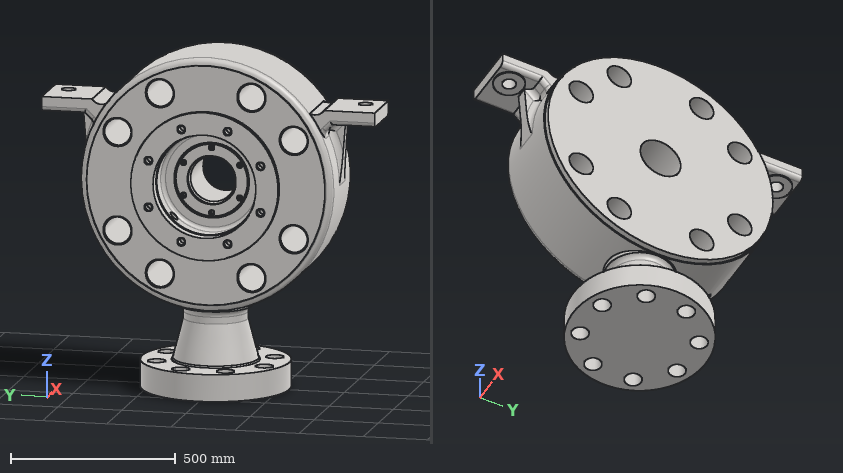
import cadquery as cq
import math

OVERALL_HEIGHT = 1045.0
DISC_RADIUS = 394.0
FLANGE_BOTTOM = DISC_RADIUS - OVERALL_HEIGHT

QUARTER_ARC = 1 - math.sqrt(0.5)

DISC_FRONT = -135.0
DISC_BACK = 132.0
FRONT_ROUND = 20.0
FRONT_LIP = 4.0
FRONT_LIP_RADIUS = 372.0
RIM_STEP_X = 112.0
RIM_STEP = 4.0
RAISED_FACE_DIAMETER = 460.0
RAISED_FACE_FRONT = -152.0

MOUTH_DIAMETER = 321.0
MOUTH_END = -114.0
POCKET_DIAMETER = 315.0
POCKET_FLOOR = -55.0
POCKET_ROUND = 13.0
COUNTERBORE_DIAMETER = 152.0
COUNTERBORE_DEPTH = 13.0
BORE_DIAMETER = 140.0
BORE_TAPER = 6.0
GROOVE_INNER_DIAMETER = 224.0
GROOVE_OUTER_DIAMETER = 234.0
GROOVE_DEPTH = 2.0

BOLT_HOLE_DIAMETER = 83.0
BOLT_CHAMFER = 3.7
BOLT_CIRCLE_RADIUS = 315.0
BOLT_ANGLES = (29.1, 63.0)
FACE_SCREW_DIAMETER = 20.0
FACE_SCREW_CHAMFER = 3.0
FACE_SCREW_DEPTH = 31.0
FACE_SCREW_CIRCLE_RADIUS = 189.0
FACE_SCREW_COUNT = 8
FLOOR_SCREW_DIAMETER = 13.0
FLOOR_SCREW_CHAMFER = 2.6
FLOOR_SCREW_DEPTH = 21.0
FLOOR_SCREW_CIRCLE_RADIUS = 101.0
FLOOR_SCREW_COUNT = 6

DRAIN_DIAMETER = 30.0
DRAIN_X = -82.0

STEM_TOP = -314.0
COLLAR_DIAMETER = 224.0
COLLAR_BOTTOM = -397.0
NECK_DIAMETER = 199.0
NECK_BOTTOM = -437.0
NECK_BLEND = 20.0
CONE_BOTTOM = -561.0
CONE_DIAMETER = 262.0
FOOT_DIAMETER = 270.0
FLANGE_DIAMETER = 460.0
FLANGE_TOP = -566.0
FLANGE_HOLE_DIAMETER = 54.0
FLANGE_HOLE_CIRCLE_RADIUS = 182.0
FLANGE_HOLE_COUNT = 8

ARM_WIDTH = 185.0
ARM_CENTER_X = -10.0
ARM_TOP = 245.0
ARM_THICKNESS = 46.0
ARM_SPAN = 1040.0
ARM_TIP = ARM_SPAN / 2
ARM_BEND = 362.0
ARM_LOWER_BEND = 387.0
ARM_UNDERSIDE = ARM_TOP - ARM_THICKNESS
ARM_ROOT_Y = 318.0
ARM_ROOT_ROUND = 35.0
ARM_ROOT_OVERLAP = 31.0
ARM_EDGE_ROUND = 16.0
ARM_HOLE_DIAMETER = 43.0
ARM_HOLE_X = 19.0
ARM_HOLE_Y = 463.0
PAD_DIAMETER = 98.0
PAD_HEIGHT = 4.0
ARM_BLEND = 22.0
ARM_BLEND_RING_RADIUS = DISC_RADIUS + ARM_BLEND

RIB_THICKNESS = 38.0
RIB_TOP_Y = 410.0
RIB_BOTTOM_Y = DISC_RADIUS
RIB_BLEND = 20.0


def x_hole(diameter, start, end, y, z, chamfer):
    """Cutter for a hole along X whose rim at `start` is chamfered."""
    radius = diameter / 2
    return (
        cq.Workplane("XY")
        .moveTo(start, 0)
        .lineTo(start, radius + chamfer)
        .lineTo(start + chamfer, radius)
        .lineTo(end, radius)
        .lineTo(end, 0)
        .close()
        .revolve(360, (0, 0, 0), (1, 0, 0))
        .translate((0, y, z))
    )


def ring_of_x_holes(diameter, start, depth, chamfer, circle_radius, angles):
    cutters = cq.Workplane("XY")
    for angle in angles:
        y = circle_radius * math.cos(math.radians(angle))
        z = circle_radius * math.sin(math.radians(angle))
        cutters = cutters.add(x_hole(diameter, start, start + depth, y, z, chamfer))
    return cutters.combine()


def make_disc():
    step_radius = DISC_RADIUS - RIM_STEP
    corner = FRONT_ROUND * QUARTER_ARC
    shoulder = DISC_FRONT + FRONT_LIP
    raised_radius = RAISED_FACE_DIAMETER / 2
    return (
        cq.Workplane("XY")
        .moveTo(RAISED_FACE_FRONT, 0)
        .lineTo(RAISED_FACE_FRONT, raised_radius)
        .lineTo(DISC_FRONT, raised_radius)
        .lineTo(DISC_FRONT, FRONT_LIP_RADIUS)
        .lineTo(shoulder, FRONT_LIP_RADIUS)
        .lineTo(shoulder, DISC_RADIUS - FRONT_ROUND)
        .threePointArc(
            (shoulder + corner, DISC_RADIUS - corner),
            (shoulder + FRONT_ROUND, DISC_RADIUS),
        )
        .lineTo(RIM_STEP_X, DISC_RADIUS)
        .lineTo(RIM_STEP_X, step_radius)
        .lineTo(DISC_BACK, step_radius)
        .lineTo(DISC_BACK, 0)
        .close()
        .revolve(360, (0, 0, 0), (1, 0, 0))
    )


def make_bore_cutter():
    pocket_radius = POCKET_DIAMETER / 2
    corner = POCKET_ROUND * QUARTER_ARC
    counterbore_floor = POCKET_FLOOR + COUNTERBORE_DEPTH
    bore = (
        cq.Workplane("XY")
        .moveTo(RAISED_FACE_FRONT, 0)
        .lineTo(RAISED_FACE_FRONT, MOUTH_DIAMETER / 2)
        .lineTo(MOUTH_END, MOUTH_DIAMETER / 2)
        .lineTo(MOUTH_END, pocket_radius)
        .lineTo(POCKET_FLOOR - POCKET_ROUND, pocket_radius)
        .threePointArc(
            (POCKET_FLOOR - corner, pocket_radius - corner),
            (POCKET_FLOOR, pocket_radius - POCKET_ROUND),
        )
        .lineTo(POCKET_FLOOR, COUNTERBORE_DIAMETER / 2)
        .lineTo(counterbore_floor, COUNTERBORE_DIAMETER / 2)
        .lineTo(counterbore_floor + BORE_TAPER, BORE_DIAMETER / 2)
        .lineTo(DISC_BACK, BORE_DIAMETER / 2)
        .lineTo(DISC_BACK, 0)
        .close()
        .revolve(360, (0, 0, 0), (1, 0, 0))
    )
    groove = (
        cq.Workplane("YZ", origin=(POCKET_FLOOR, 0, 0))
        .circle(GROOVE_OUTER_DIAMETER / 2)
        .circle(GROOVE_INNER_DIAMETER / 2)
        .extrude(GROOVE_DEPTH)
    )
    return bore.union(groove)


def make_stem():
    """Neck, cone and foot flange turned about Z, reaching up into the disc."""
    collar_radius = COLLAR_DIAMETER / 2
    neck_radius = NECK_DIAMETER / 2
    blend_drop = math.sqrt(NECK_BLEND**2 - (NECK_BLEND - collar_radius + neck_radius) ** 2)
    stem = (
        cq.Workplane("XZ")
        .moveTo(0, STEM_TOP)
        .lineTo(collar_radius, STEM_TOP)
        .lineTo(collar_radius, COLLAR_BOTTOM)
        .radiusArc((neck_radius, COLLAR_BOTTOM - blend_drop), -NECK_BLEND)
        .lineTo(neck_radius, NECK_BOTTOM)
        .lineTo(CONE_DIAMETER / 2, CONE_BOTTOM)
        .lineTo(FOOT_DIAMETER / 2, FLANGE_TOP)
        .lineTo(FLANGE_DIAMETER / 2, FLANGE_TOP)
        .lineTo(FLANGE_DIAMETER / 2, FLANGE_BOTTOM)
        .lineTo(0, FLANGE_BOTTOM)
        .close()
        .revolve(360, (0, 0, 0), (0, 1, 0))
    )
    flange_holes = (
        cq.Workplane("XY", origin=(0, 0, FLANGE_BOTTOM))
        .polarArray(FLANGE_HOLE_CIRCLE_RADIUS, 180 / FLANGE_HOLE_COUNT, 360, FLANGE_HOLE_COUNT)
        .circle(FLANGE_HOLE_DIAMETER / 2)
        .extrude(FLANGE_TOP - FLANGE_BOTTOM)
    )
    return stem.cut(flange_holes)


def make_arm_plate():
    """Flat plate bent down at 45 degrees, with concave arcs where it meets the rim."""
    slope_offset = ARM_LOWER_BEND - ARM_UNDERSIDE
    center_offset = slope_offset + ARM_BLEND * math.sqrt(2)
    center_z = (math.sqrt(2 * ARM_BLEND_RING_RADIUS**2 - center_offset**2) - center_offset) / 2
    center_y = center_z + center_offset
    slope_end = (center_y - ARM_BLEND * math.sqrt(0.5), center_z + ARM_BLEND * math.sqrt(0.5))
    to_rim = DISC_RADIUS / ARM_BLEND_RING_RADIUS
    lower_rim = (center_y * to_rim, center_z * to_rim)
    upper_rim = (ARM_ROOT_Y, math.sqrt(DISC_RADIUS**2 - ARM_ROOT_Y**2))
    plate = (
        cq.Workplane("YZ", origin=(ARM_CENTER_X - ARM_WIDTH / 2, 0, 0))
        .moveTo(ARM_TIP, ARM_UNDERSIDE)
        .lineTo(ARM_TIP, ARM_TOP)
        .lineTo(ARM_BEND, ARM_TOP)
        .radiusArc(upper_rim, ARM_ROOT_ROUND)
        .lineTo(upper_rim[0] - ARM_ROOT_OVERLAP, upper_rim[1])
        .lineTo(lower_rim[0] - ARM_ROOT_OVERLAP, lower_rim[1])
        .lineTo(*lower_rim)
        .radiusArc(slope_end, ARM_BLEND)
        .lineTo(ARM_LOWER_BEND, ARM_UNDERSIDE)
        .close()
        .extrude(ARM_WIDTH)
    )
    edge_points = [
        (x, y, z)
        for x in (ARM_CENTER_X - ARM_WIDTH / 2, ARM_CENTER_X + ARM_WIDTH / 2)
        for y, z in (
            ((ARM_TIP + ARM_LOWER_BEND) / 2, ARM_UNDERSIDE),
            ((ARM_LOWER_BEND + slope_end[0]) / 2, (ARM_UNDERSIDE + slope_end[1]) / 2),
            (center_y - ARM_BLEND, center_z),
        )
    ]
    lower_edges = cq.Workplane("XY")
    for point in edge_points:
        lower_edges = lower_edges.add(plate.edges(cq.selectors.NearestToPointSelector(point)))
    return cq.Workplane(plate.val().fillet(ARM_EDGE_ROUND, lower_edges.vals()))


def make_arm():
    """Arm on the +Y side with a round pad under its screw hole."""
    pad_bottom = ARM_UNDERSIDE - PAD_HEIGHT
    pad_plane = cq.Workplane("XY", origin=(ARM_HOLE_X, ARM_HOLE_Y, pad_bottom))
    pad = pad_plane.circle(PAD_DIAMETER / 2).extrude(PAD_HEIGHT + ARM_THICKNESS / 2)
    hole = pad_plane.circle(ARM_HOLE_DIAMETER / 2).extrude(PAD_HEIGHT + ARM_THICKNESS)
    return make_arm_plate().union(pad).cut(hole)


def flared_web(base, top):
    """Web section in X and Y whose foot spreads with quarter arcs onto a surface at height `base`."""
    half = RIB_THICKNESS / 2
    foot = half + RIB_BLEND
    corner = RIB_BLEND * QUARTER_ARC
    return (
        cq.Workplane("XY")
        .moveTo(-foot, base - RIB_BLEND)
        .lineTo(-foot, base)
        .threePointArc((-half - corner, base + corner), (-half, base + RIB_BLEND))
        .lineTo(-half, top)
        .lineTo(half, top)
        .lineTo(half, base + RIB_BLEND)
        .threePointArc((half + corner, base + corner), (foot, base))
        .lineTo(foot, base - RIB_BLEND)
        .close()
    )


def make_rib():
    """Rib on the +Y side: a thin web whose foot flares into the rim and the sloping arm."""
    half_length = RIB_TOP_Y - ARM_ROOT_Y
    rim_web = flared_web(DISC_RADIUS, DISC_RADIUS + half_length).revolve(90, (0, 0, 0), (1, 0, 0))
    slope_web = (
        flared_web(0, half_length)
        .extrude(half_length, both=True)
        .rotate((0, 0, 0), (1, 0, 0), -45)
        .translate((0, ARM_LOWER_BEND, ARM_UNDERSIDE))
    )
    foot_width = RIB_THICKNESS + 2 * RIB_BLEND
    outline = (
        cq.Workplane("YZ", origin=(-foot_width / 2, 0, 0))
        .moveTo(RIB_BOTTOM_Y, 0)
        .lineTo(RIB_TOP_Y, ARM_UNDERSIDE)
        .lineTo(ARM_BEND, ARM_UNDERSIDE + ARM_THICKNESS / 2)
        .lineTo(ARM_ROOT_Y, 0)
        .close()
        .extrude(foot_width)
    )
    return rim_web.union(slope_web).intersect(outline)


def even_angles(count):
    """Angles of `count` evenly spaced holes, offset by half a step."""
    return [(index + 0.5) * 360 / count for index in range(count)]


bracket = make_arm().union(make_rib())
body = make_disc().union(make_stem())
body = body.union(bracket).union(bracket.mirror("XZ"))

bolt_angles = [turn + side * angle for angle in BOLT_ANGLES for turn in (0, 180) for side in (-1, 1)]
bolt_holes = ring_of_x_holes(
    BOLT_HOLE_DIAMETER,
    DISC_FRONT,
    DISC_BACK - DISC_FRONT,
    BOLT_CHAMFER,
    BOLT_CIRCLE_RADIUS,
    bolt_angles,
)
face_screw_holes = ring_of_x_holes(
    FACE_SCREW_DIAMETER,
    RAISED_FACE_FRONT,
    FACE_SCREW_DEPTH,
    FACE_SCREW_CHAMFER,
    FACE_SCREW_CIRCLE_RADIUS,
    even_angles(FACE_SCREW_COUNT),
)
floor_screw_holes = ring_of_x_holes(
    FLOOR_SCREW_DIAMETER,
    POCKET_FLOOR,
    FLOOR_SCREW_DEPTH,
    FLOOR_SCREW_CHAMFER,
    FLOOR_SCREW_CIRCLE_RADIUS,
    even_angles(FLOOR_SCREW_COUNT),
)
drain = cq.Solid.makeCylinder(
    DRAIN_DIAMETER / 2, 2 * DISC_RADIUS, cq.Vector(DRAIN_X, 0, 0), cq.Vector(0, 1, -1)
)

for cutter in (make_bore_cutter(), bolt_holes, face_screw_holes, floor_screw_holes, cq.Workplane(drain)):
    body = body.cut(cutter)

result = body